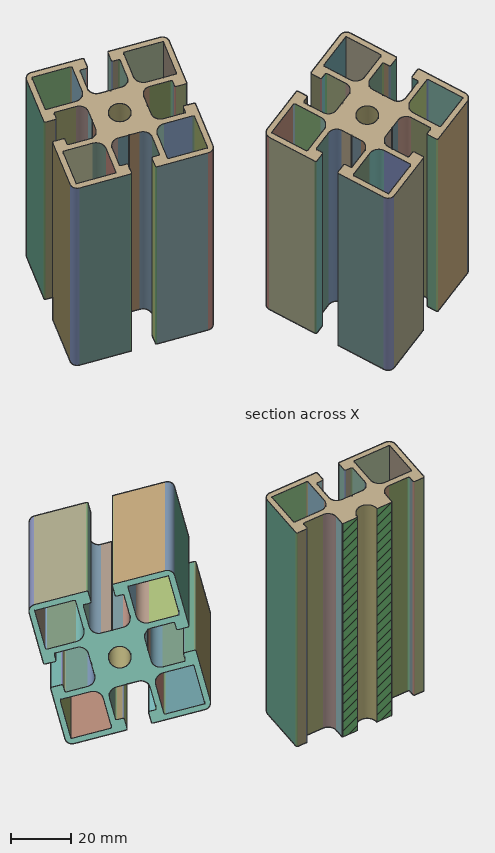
import cadquery as cq

SIDE = 50.0
LENGTH = 100.0
HALF = SIDE / 2
CORNER_RADIUS = 2.5
CENTRE_BORE = 7.5

SLOT_OPENING = 8.3
LIP_DEPTH = 4.3
LIP_RADIUS = 0.5
CHANNEL_WIDTH = 14.0
CHANNEL_FLOOR_DEPTH = 15.3
CHANNEL_ROOT_RADIUS = 0.5
CHANNEL_FLOOR_RADIUS = 3.2

GROOVE_WIDTH = 0.4
GROOVE_DEPTH = 0.2

OUTER_WALL = 2.0
WEB_THICKNESS = 2.0
CHAMBER_WEB_RADIUS = 0.5
CHAMBER_CORE_RADIUS = 3.5

QUARTER_TURNS = (0, 90, 180, 270)


def near_point(x, y):
    """Select the lengthwise edge that passes closest to (x, y)."""
    return cq.selectors.NearestToPointSelector((x, y, LENGTH / 2))


def fillet_at(body, corners, radius):
    """Round the lengthwise edges at the given corners."""
    for x, y in corners:
        body = body.edges("|Z").edges(near_point(x, y)).fillet(radius)
    return body


def make_blank():
    """Solid square bar with rounded corners and the centre bore."""
    bar = cq.Workplane("XY").rect(SIDE, SIDE).extrude(LENGTH)
    bar = bar.edges("|Z").fillet(CORNER_RADIUS)
    return bar.faces(">Z").workplane().hole(CENTRE_BORE)


def make_slot():
    """Cutter for the T-slot on the +Y side, with rounded channel corners."""
    opening_half = SLOT_OPENING / 2
    channel_half = CHANNEL_WIDTH / 2
    lip_y = HALF - LIP_DEPTH
    floor_y = HALF - CHANNEL_FLOOR_DEPTH
    slot = (
        cq.Workplane("XY")
        .moveTo(-opening_half, HALF)
        .lineTo(-opening_half, lip_y)
        .lineTo(-channel_half, lip_y)
        .lineTo(-channel_half, floor_y)
        .lineTo(-GROOVE_WIDTH / 2, floor_y)
        .lineTo(0, floor_y - GROOVE_DEPTH)
        .lineTo(GROOVE_WIDTH / 2, floor_y)
        .lineTo(channel_half, floor_y)
        .lineTo(channel_half, lip_y)
        .lineTo(opening_half, lip_y)
        .lineTo(opening_half, HALF)
        .close()
        .extrude(LENGTH)
    )
    roots = [(side * channel_half, lip_y) for side in (-1, 1)]
    floor_corners = [(side * channel_half, floor_y) for side in (-1, 1)]
    slot = fillet_at(slot, roots, CHANNEL_ROOT_RADIUS)
    return fillet_at(slot, floor_corners, CHANNEL_FLOOR_RADIUS)


def make_chamber():
    """Cutter for the hollow chamber in the +X +Y corner; its outermost corner stays sharp."""
    inner = CHANNEL_WIDTH / 2 + WEB_THICKNESS
    outer = HALF - OUTER_WALL
    size = outer - inner
    chamber = cq.Workplane("XY").rect(size, size, centered=False).extrude(LENGTH)
    chamber = chamber.translate((inner, inner, 0))
    chamber = fillet_at(chamber, [(inner, inner)], CHAMBER_CORE_RADIUS)
    return fillet_at(chamber, [(inner, outer), (outer, inner)], CHAMBER_WEB_RADIUS)


def round_lips(body):
    """Round the outer and inner edges of the lips beside every slot opening."""
    corners = []
    for side in (-1, 1):
        across = side * SLOT_OPENING / 2
        for end in (-1, 1):
            for reach in (HALF, HALF - LIP_DEPTH):
                along = end * reach
                corners += [(across, along), (along, across)]
    return fillet_at(body, corners, LIP_RADIUS)


result = make_blank()
slot_cutter = make_slot()
chamber_cutter = make_chamber()
for angle in QUARTER_TURNS:
    for cutter in (slot_cutter, chamber_cutter):
        result = result.cut(cutter.rotate((0, 0, 0), (0, 0, 1), angle))
result = round_lips(result)